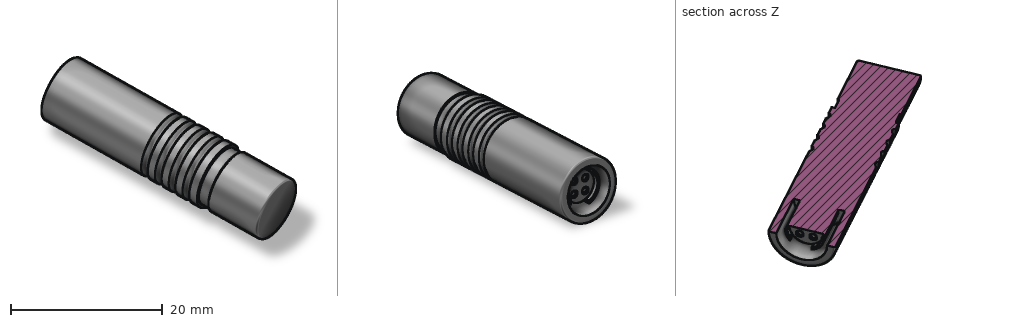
import cadquery as cq
import math

LENGTH = 35.0
BODY_DIAMETER = 9.4
BODY_RADIUS = BODY_DIAMETER / 2
EDGE_ROUND = 0.3

GROOVE_COUNT = 4
GROOVE_PITCH = 2.25
GROOVE_START = 16.3
GROOVE_ARC_RADIUS = 0.35
GROOVE_RAMP_ANGLE = math.radians(30)

NECK_START = 25.38
NECK_END = 27.05
NECK_RADIUS = 4.27
REAR_RADIUS = 4.48

SOCKET_RADIUS = 3.55
SOCKET_DEPTH = 7.0
INSERT_RADIUS = 2.38
INSERT_FACE = 1.92

KEY_FACE = 1.2
KEY_OUTER_RADIUS = 2.73
NARROW_KEY_EDGE = 2.03
WIDE_KEY_EDGE = 0.98

CONTACT_SPACING = 1.85
CONTACT_RADIUS = 0.35
CONTACT_MOUTH_RADIUS = 0.52
CONTACT_MOUTH_ANGLE = 90
CONTACT_DEPTH = 2.1


def add_groove(outline, start):
    """Continue the outline through one grip groove that begins at X = start."""
    centre = start + GROOVE_ARC_RADIUS / math.sin(GROOVE_RAMP_ANGLE)
    ramp_end = (
        centre - GROOVE_ARC_RADIUS * math.sin(GROOVE_RAMP_ANGLE),
        BODY_RADIUS - GROOVE_ARC_RADIUS * math.cos(GROOVE_RAMP_ANGLE),
    )
    groove_floor = (centre, BODY_RADIUS - GROOVE_ARC_RADIUS)
    groove_end = (centre + GROOVE_ARC_RADIUS, BODY_RADIUS)
    return (
        outline.lineTo(start, BODY_RADIUS)
        .lineTo(*ramp_end)
        .threePointArc(groove_floor, groove_end)
    )


def make_body():
    """Revolve the outer outline, grooves included, about the X axis."""
    outline = cq.Workplane("XY").lineTo(0, BODY_RADIUS)
    for index in range(GROOVE_COUNT):
        outline = add_groove(outline, GROOVE_START + index * GROOVE_PITCH)
    outline = (
        outline.lineTo(NECK_START, BODY_RADIUS)
        .lineTo(NECK_START, NECK_RADIUS)
        .lineTo(NECK_END, NECK_RADIUS)
        .lineTo(NECK_END, REAR_RADIUS)
        .lineTo(LENGTH, REAR_RADIUS)
        .lineTo(LENGTH, 0)
        .close()
    )
    body = outline.revolve(360, (0, 0, 0), (1, 0, 0))
    return body.faces("<X or >X").edges().fillet(EDGE_ROUND)


def cylinder_along_x(radius, start, end):
    """Round bar on the X axis between two X positions."""
    return cq.Workplane("YZ", origin=(start, 0, 0)).circle(radius).extrude(end - start)


def make_socket():
    """Ring-shaped void around the insert, open at the front face."""
    socket = cylinder_along_x(SOCKET_RADIUS, 0, SOCKET_DEPTH)
    insert = cylinder_along_x(INSERT_RADIUS, INSERT_FACE, SOCKET_DEPTH)
    return socket.cut(insert)


def make_keys():
    """Ring around the insert, kept only beyond the two key edges in Y."""
    ring = cylinder_along_x(KEY_OUTER_RADIUS, KEY_FACE, SOCKET_DEPTH).cut(
        cylinder_along_x(INSERT_RADIUS, KEY_FACE, SOCKET_DEPTH)
    )
    gap_centre = (NARROW_KEY_EDGE - WIDE_KEY_EDGE) / 2
    gap = (
        cq.Workplane("YZ", origin=(KEY_FACE, gap_centre, 0))
        .rect(NARROW_KEY_EDGE + WIDE_KEY_EDGE, 2 * KEY_OUTER_RADIUS)
        .extrude(SOCKET_DEPTH - KEY_FACE)
    )
    return ring.cut(gap)


def drill_contacts(part):
    """Cut four blind holes, each with a countersunk mouth, into the insert face."""
    return (
        part.copyWorkplane(cq.Workplane("ZY", origin=(INSERT_FACE, 0, 0)))
        .rect(CONTACT_SPACING, CONTACT_SPACING, forConstruction=True)
        .vertices()
        .cskHole(2 * CONTACT_RADIUS, 2 * CONTACT_MOUTH_RADIUS, CONTACT_MOUTH_ANGLE, CONTACT_DEPTH)
    )


result = drill_contacts(make_body().cut(make_socket()).union(make_keys()))